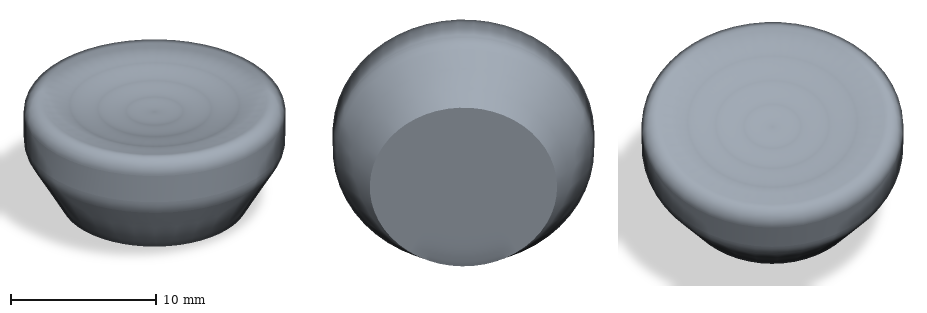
import cadquery as cq
import math

outer_radius = 9.0
height = 8.05

rim_fillet = 1.0
shoulder_fillet = 2.0
dish_radius = 30.0
cone_angle = math.radians(30)
band_bottom = 4.97

rim_center_r = outer_radius - rim_fillet
rim_center_z = height - rim_fillet
dish_tilt = math.asin(rim_center_r / (dish_radius + rim_fillet))
dish_center_z = rim_center_z + (dish_radius + rim_fillet) * math.cos(dish_tilt)


def rim_point(angle):
    """Point on the rim rounding at an angle above the horizontal."""
    return (rim_center_r + rim_fillet * math.cos(angle), rim_center_z + rim_fillet * math.sin(angle))


def dish_point(tilt):
    """Point on the dish at a tilt away from its lowest point."""
    return (dish_radius * math.sin(tilt), dish_center_z - dish_radius * math.cos(tilt))


def shoulder_point(angle):
    """Point on the shoulder rounding at an angle below the horizontal."""
    center_r = outer_radius - shoulder_fillet
    return (center_r + shoulder_fillet * math.cos(angle), band_bottom - shoulder_fillet * math.sin(angle))


cone_top_r, cone_top_z = shoulder_point(cone_angle)
base_radius = cone_top_r - cone_top_z * math.tan(cone_angle)
rim_end_angle = math.pi / 2 + dish_tilt

half_section = (
    cq.Workplane("XZ")
    .lineTo(base_radius, 0)
    .lineTo(cone_top_r, cone_top_z)
    .threePointArc(shoulder_point(cone_angle / 2), (outer_radius, band_bottom))
    .lineTo(outer_radius, rim_center_z)
    .threePointArc(rim_point(rim_end_angle / 2), dish_point(dish_tilt))
    .threePointArc(dish_point(dish_tilt / 2), dish_point(0))
    .close()
)
result = half_section.revolve(360, (0, 0, 0), (0, 1, 0))